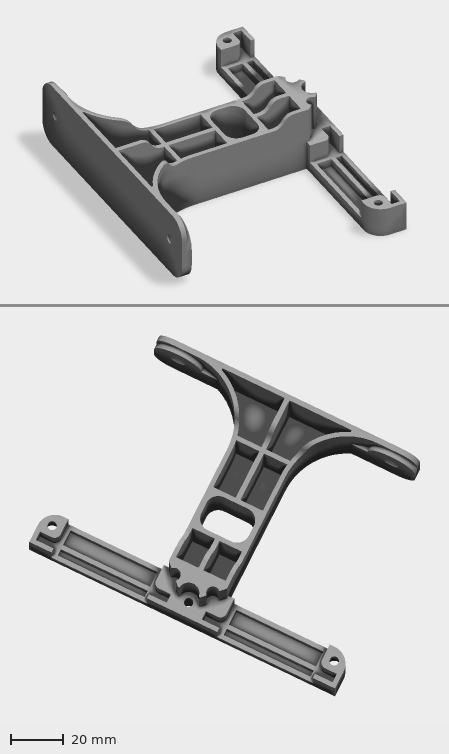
import cadquery as cq
import math

OVERALL_DEPTH = 91.7
OVERALL_HEIGHT = 27.5
WALL = 1.8
CENTER_RIB = 2.0
FLOOR = 1.0
SCREW_DIAMETER = 3.5
COUNTERBORE_DIAMETER = 6.25
COUNTERBORE_LIP = 2.0

PLATE_WIDTH = 110.0
PLATE_THICKNESS = 2.2
PLATE_CORNER_RADIUS = 7.5
PLATE_HOLE_X = 45.0
PLATE_HOLE_Z = 15.0
PAD_RADIUS = PLATE_WIDTH / 2 - PLATE_HOLE_X
PAD_THICKNESS = 2.0

STEM_WIDTH = 24.5
FLARE_RADIUS = 26.0
FLARE_CENTER_X = STEM_WIDTH / 2 + FLARE_RADIUS
FLARE_CENTER_Y = PLATE_THICKNESS + FLARE_RADIUS

FRONT_CROSS_WALL_Y = 21.9
WINDOW_FRONT_Y = 45.7
WINDOW_LENGTH = 14.2
WINDOW_WIDTH = 20.0
WINDOW_CORNER_RADIUS = 5.0
REAR_BAY_LENGTH = 14.0
BAY_FRONT_Y = 2.0
BAY_TIP_X = 27.25
WINDOW_REAR_Y = WINDOW_FRONT_Y + WINDOW_LENGTH
REAR_BAY_FRONT_Y = WINDOW_REAR_Y + WALL

DIP_Z = 22.5
DIP_FRONT_Y = 12.2
DIP_REAR_Y = 71.9
RAMP_RADIUS = 5.0
RAMP_RISE = OVERALL_HEIGHT - DIP_Z
RAMP_RUN = math.sqrt(RAMP_RISE * (4 * RAMP_RADIUS - RAMP_RISE))

ARM_WIDTH = 129.0
ARM_DEPTH = 14.5
ARM_HEIGHT = 12.5
ARM_CORNER_RADIUS = 7.25
ARM_FRONT_Y = OVERALL_DEPTH - ARM_DEPTH
ARM_HOLE_INSET = 5.0
CENTER_HOLE_Y = OVERALL_DEPTH - 5.5

RECESS_CENTER_X = 35.0
RECESS_WIDTH = 40.3
RECESS_FLOOR_Z = 4.5
RECESS_EDGE_RADIUS = 2.5
SLOT_LENGTH = 55.2
SLOT_WIDTH = 3.6
TROUGH_LENGTH = RECESS_WIDTH - 2 * WALL
REAR_TROUGH_WIDTH = 2.7

STEM_REAR_Y = OVERALL_DEPTH - 6.0
STEM_CHAMFER = 7.5
HEAD_CLEARANCE_DIAMETER = 8.2
NOTCH_DIAMETER = 5.1
NOTCH_X = 8.2
NOTCH_Y = OVERALL_DEPTH - 9.6


def block(x_min, x_max, y_min, y_max, z_min, z_max):
    """Axis-aligned box between the given limits."""
    size = (x_max - x_min, y_max - y_min, z_max - z_min)
    return cq.Workplane("XY").box(*size, centered=False).translate((x_min, y_min, z_min))


def post(x, y, diameter, z_min, z_max):
    """Upright cylinder."""
    return cq.Workplane("XY", origin=(x, y, z_min)).circle(diameter / 2).extrude(z_max - z_min)


def flared_strip(half_width, flare_radius, front_y, rear_y, z_min):
    """Stem-shaped prism whose sides curve outwards about the flare centres."""
    drop = FLARE_CENTER_Y - front_y
    front_x = FLARE_CENTER_X - math.sqrt(flare_radius**2 - drop**2)
    front_angle = math.asin(drop / flare_radius)
    mid_x = FLARE_CENTER_X - flare_radius * math.cos(front_angle / 2)
    mid_y = FLARE_CENTER_Y - flare_radius * math.sin(front_angle / 2)
    return (
        cq.Workplane("XY", origin=(0, 0, z_min))
        .moveTo(-front_x, front_y)
        .lineTo(front_x, front_y)
        .threePointArc((mid_x, mid_y), (half_width, FLARE_CENTER_Y))
        .lineTo(half_width, rear_y)
        .lineTo(-half_width, rear_y)
        .lineTo(-half_width, FLARE_CENTER_Y)
        .threePointArc((-mid_x, mid_y), (-front_x, front_y))
        .close()
        .extrude(OVERALL_HEIGHT - z_min)
    )


def make_plate():
    """Rounded plate with a thicker, counterbored pad behind each screw hole and a rib joining the pads."""
    rear_y = PLATE_THICKNESS + PAD_THICKNESS
    half_width = PLATE_WIDTH / 2
    outline = block(-half_width, half_width, 0, rear_y, 0, OVERALL_HEIGHT)
    outline = outline.edges("|Y").fillet(PLATE_CORNER_RADIUS)
    backing = block(-half_width, half_width, PLATE_THICKNESS, rear_y, 0, PLATE_HOLE_Z)
    face = block(-half_width, half_width, 0, PLATE_THICKNESS, 0, OVERALL_HEIGHT)
    hole_points = [(-PLATE_HOLE_X, PLATE_HOLE_Z), (PLATE_HOLE_X, PLATE_HOLE_Z)]
    hole_plane = cq.Workplane("XZ").pushPoints(hole_points)
    pads = hole_plane.circle(PAD_RADIUS).extrude(-rear_y)
    holes = hole_plane.circle(SCREW_DIAMETER / 2).extrude(-rear_y)
    counterbore_plane = cq.Workplane("XZ", origin=(0, COUNTERBORE_LIP, 0)).pushPoints(hole_points)
    counterbores = counterbore_plane.circle(COUNTERBORE_DIAMETER / 2).extrude(COUNTERBORE_LIP - rear_y)
    return face.union(backing).union(pads).intersect(outline).cut(holes).cut(counterbores)


def make_stem():
    """Solid stem with the notched rear end."""
    stem = flared_strip(STEM_WIDTH / 2, FLARE_RADIUS, PLATE_THICKNESS, STEM_REAR_Y, 0)
    stem = stem.edges("|Z and >Y").chamfer(STEM_CHAMFER)
    stem = stem.cut(post(0, CENTER_HOLE_Y, HEAD_CLEARANCE_DIAMETER, 0, OVERALL_HEIGHT))
    for side in (-1, 1):
        stem = stem.cut(post(side * NOTCH_X, NOTCH_Y, NOTCH_DIAMETER, 0, OVERALL_HEIGHT))
    return stem


def make_dip():
    """Cutter for the lowered middle stretch of the stem."""
    half_run = RAMP_RUN / 2
    mid_z = (OVERALL_HEIGHT + DIP_Z) / 2
    half_angle = math.asin(half_run / RAMP_RADIUS) / 2
    along = RAMP_RADIUS * math.sin(half_angle)
    sag = RAMP_RADIUS * (1 - math.cos(half_angle))
    front_low_y = DIP_FRONT_Y + RAMP_RUN
    rear_low_y = DIP_REAR_Y - RAMP_RUN
    return (
        cq.Workplane("YZ", origin=(-PLATE_WIDTH / 2, 0, 0))
        .moveTo(DIP_FRONT_Y, OVERALL_HEIGHT)
        .threePointArc((DIP_FRONT_Y + along, OVERALL_HEIGHT - sag), (DIP_FRONT_Y + half_run, mid_z))
        .threePointArc((front_low_y - along, DIP_Z + sag), (front_low_y, DIP_Z))
        .lineTo(rear_low_y, DIP_Z)
        .threePointArc((rear_low_y + along, DIP_Z + sag), (rear_low_y + half_run, mid_z))
        .threePointArc((DIP_REAR_Y - along, OVERALL_HEIGHT - sag), (DIP_REAR_Y, OVERALL_HEIGHT))
        .close()
        .extrude(PLATE_WIDTH)
    )


def make_bays():
    """Cutter for the open bays of the stem, split by the centre rib and the cross walls."""
    rear_y = REAR_BAY_FRONT_Y + REAR_BAY_LENGTH
    half_width = STEM_WIDTH / 2
    bays = flared_strip(half_width - WALL, FLARE_RADIUS + WALL, BAY_FRONT_Y, rear_y, FLOOR)
    solid_stretches = [
        (FRONT_CROSS_WALL_Y, FRONT_CROSS_WALL_Y + WALL),
        (WINDOW_FRONT_Y - WALL, REAR_BAY_FRONT_Y),
    ]
    for y_min, y_max in solid_stretches:
        bays = bays.cut(block(-half_width, half_width, y_min, y_max, 0, OVERALL_HEIGHT))
    bays = bays.intersect(block(-BAY_TIP_X, BAY_TIP_X, 0, rear_y, 0, OVERALL_HEIGHT))
    return bays.cut(block(-CENTER_RIB / 2, CENTER_RIB / 2, 0, rear_y, 0, OVERALL_HEIGHT))


def make_window():
    """Cutter for the rounded opening through the stem."""
    half_width = WINDOW_WIDTH / 2
    window = block(-half_width, half_width, WINDOW_FRONT_Y, WINDOW_REAR_Y, 0, OVERALL_HEIGHT)
    return window.edges("|Z").fillet(WINDOW_CORNER_RADIUS)


def make_recess(center_x):
    """Cutter for one arm recess: a wide bay, a longer slot and two troughs in the floor."""
    def centered_block(length, y_min, y_max, z_min):
        return block(center_x - length / 2, center_x + length / 2, y_min, y_max, z_min, ARM_HEIGHT)

    slot_rear_y = OVERALL_DEPTH - WALL
    slot_front_y = slot_rear_y - SLOT_WIDTH
    front_trough_rear_y = slot_rear_y - REAR_TROUGH_WIDTH - WALL
    bay = centered_block(RECESS_WIDTH, ARM_FRONT_Y, OVERALL_DEPTH, RECESS_FLOOR_Z)
    slot = centered_block(SLOT_LENGTH, slot_front_y, slot_rear_y, RECESS_FLOOR_Z)
    recess = bay.union(slot)
    corner_reach = 0.1
    corner_zone = cq.selectors.BoxSelector(
        (center_x - RECESS_WIDTH / 2 - corner_reach, slot_front_y - corner_reach, 0),
        (center_x + RECESS_WIDTH / 2 + corner_reach, slot_front_y + corner_reach, ARM_HEIGHT),
    )
    recess = recess.edges("|Z").edges(corner_zone).fillet(RECESS_EDGE_RADIUS)
    rear_trough = centered_block(TROUGH_LENGTH, slot_rear_y - REAR_TROUGH_WIDTH, slot_rear_y, FLOOR)
    front_trough = centered_block(TROUGH_LENGTH, ARM_FRONT_Y + WALL, front_trough_rear_y, FLOOR)
    return recess.union(rear_trough).union(front_trough)


def make_arm():
    """Rear arm with rounded front corners, and a recess and a screw hole counterbored from below on each side."""
    half_width = ARM_WIDTH / 2
    arm = block(-half_width, half_width, ARM_FRONT_Y, OVERALL_DEPTH, 0, ARM_HEIGHT)
    arm = arm.edges("|Z and <Y").fillet(ARM_CORNER_RADIUS)
    hole_x = half_width - ARM_HOLE_INSET
    hole_y = ARM_FRONT_Y + ARM_HOLE_INSET
    for side in (-1, 1):
        arm = arm.cut(make_recess(side * RECESS_CENTER_X))
        arm = arm.cut(post(side * hole_x, hole_y, SCREW_DIAMETER, 0, ARM_HEIGHT))
        arm = arm.cut(post(side * hole_x, hole_y, COUNTERBORE_DIAMETER, 0, ARM_HEIGHT - COUNTERBORE_LIP))
    return arm


body = make_stem().cut(make_dip()).union(make_plate()).union(make_arm())
center_hole = post(0, CENTER_HOLE_Y, SCREW_DIAMETER, 0, ARM_HEIGHT)
result = body.cut(make_bays()).cut(make_window()).cut(center_hole)